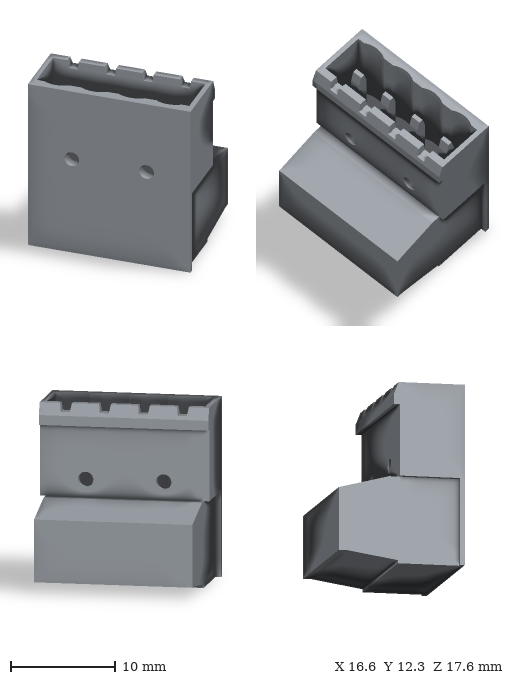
import cadquery as cq


width = 16.56
depth = 12.3
height = 17.6

contact_count = 4
contact_pitch = 3.81
contact_xs = [(i - (contact_count - 1) / 2) * contact_pitch for i in range(contact_count)]

plate_thickness = 0.5
block_width = 15.47
block_top = 8.47
block_slope_start = 7.35
block_rear_top = 7.2
block_rear_bottom = 1.07
block_flat_start = 11.51
block_foot_depth = 6.46
block_foot_height = 0.3

shroud_depth = 6.42
ridge_depth = 7.0
ridge_bottom = 15.45
ridge_taper_bottom = 16.42
shroud_top_depth = 6.53

side_wall = 0.51
cavity_front = 1.1
cavity_rear = 5.75
cavity_floor = block_top + side_wall
scallop_width = 2.6
scallop_depth = 0.37

notch_top_width = 1.15
notch_bottom_width = 0.88
notch_floor = 16.79

pin_size = 1.04
pin_y = 3.24
pin_top = 16.05
pin_tip_thickness = 0.44
pin_taper_height = 1.1

hole_diameter = 1.5
hole_z = 10.19
hole_xs = [-contact_pitch, contact_pitch]


def extrude_across(outline, across):
    """Extrude a closed (Y, Z) outline along X, centred on X = 0."""
    return cq.Workplane("YZ").polyline(outline).close().extrude(across / 2, both=True)


def make_plate():
    return cq.Workplane("XY").box(width, plate_thickness, height, centered=(True, False, False))


def make_terminal_block():
    outline = [
        (0, 0),
        (block_foot_depth, 0),
        (block_foot_depth, block_foot_height),
        (block_flat_start, block_rear_bottom),
        (depth, block_rear_bottom),
        (depth, block_rear_top),
        (block_slope_start, block_top),
        (0, block_top),
    ]
    return extrude_across(outline, block_width)


def make_shroud():
    outline = [
        (0, block_top),
        (shroud_depth, block_top),
        (shroud_depth, ridge_bottom),
        (ridge_depth, ridge_bottom),
        (ridge_depth, ridge_taper_bottom),
        (shroud_top_depth, height),
        (0, height),
    ]
    return extrude_across(outline, width)


def make_cavity():
    """Rectangular cavity with a shallow arc in its front wall at each contact."""
    half_width = width / 2 - side_wall
    sketch = cq.Workplane("XY").workplane(offset=cavity_floor).moveTo(-half_width, cavity_front)
    for x in contact_xs:
        sketch = sketch.lineTo(x - scallop_width / 2, cavity_front)
        sketch = sketch.threePointArc(
            (x, cavity_front - scallop_depth),
            (x + scallop_width / 2, cavity_front),
        )
    sketch = sketch.lineTo(half_width, cavity_front)
    sketch = sketch.lineTo(half_width, cavity_rear).lineTo(-half_width, cavity_rear).close()
    return sketch.extrude(height - cavity_floor)


def make_notch(x):
    """Notch through the rear wall, narrowing toward its floor."""
    outline = [
        (x - notch_top_width / 2, height),
        (x - notch_bottom_width / 2, notch_floor),
        (x + notch_bottom_width / 2, notch_floor),
        (x + notch_top_width / 2, height),
    ]
    sketch = cq.Workplane("XZ", origin=(0, cavity_rear, 0)).polyline(outline).close()
    return sketch.extrude(cavity_rear - ridge_depth)


def make_pin(x):
    """Square pin whose front and rear faces taper to a flat tip; it starts at the cavity floor."""
    shoulder = pin_top - pin_taper_height
    outline = [
        (pin_y - pin_size / 2, cavity_floor),
        (pin_y + pin_size / 2, cavity_floor),
        (pin_y + pin_size / 2, shoulder),
        (pin_y + pin_tip_thickness / 2, pin_top),
        (pin_y - pin_tip_thickness / 2, pin_top),
        (pin_y - pin_size / 2, shoulder),
    ]
    return extrude_across(outline, pin_size).translate((x, 0, 0))


def make_hole(x):
    sketch = cq.Workplane("XZ").center(x, hole_z).circle(hole_diameter / 2)
    return sketch.extrude(-depth)


result = make_plate().union(make_terminal_block()).union(make_shroud()).cut(make_cavity())
for contact_x in contact_xs:
    result = result.cut(make_notch(contact_x)).union(make_pin(contact_x))
for hole_x in hole_xs:
    result = result.cut(make_hole(hole_x))